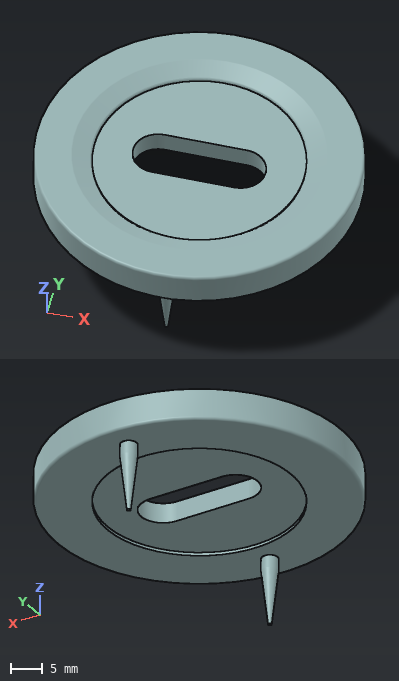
import cadquery as cq

RING_DIAMETER = 52.0
RING_RADIUS = RING_DIAMETER / 2
RING_HEIGHT = 5.65
RING_EDGE_FILLET = 0.5
RIM_RADIUS = 20.0
RIM_FILLET = 0.45
BORE_RADIUS = 16.8
SLOPE_DEPTH = 1.15
LIP_FILLET = 0.45

PLATE_THICKNESS = 3.55
PLATE_DEPTH = 1.55
PLATE_BOTTOM = RING_HEIGHT - PLATE_DEPTH - PLATE_THICKNESS
SLOT_LENGTH = 21.3
SLOT_WIDTH = 8.0

PIN_RADIUS = 1.4
PIN_TIP_RADIUS = 0.3
PIN_SHANK_LENGTH = 2.2
TOTAL_HEIGHT = 17.4
PIN_LENGTH = TOTAL_HEIGHT - RING_HEIGHT
PIN_OFFSET = 21.0


def revolve_about_z(profile):
    """Turn a closed XZ profile about the Z axis."""
    return profile.revolve(360, (0, 0, 0), (0, 1, 0))


def circle_edge(radius, z):
    """Select the circular edge of a given radius and height about the Z axis."""
    tolerance = 0.025
    reach = radius + tolerance
    box = (-reach, -reach, z - tolerance, reach, reach, z + tolerance)
    return cq.selectors.BoxSelector(box[:3], box[3:], boundingbox=True)


def make_ring():
    slope_end = RING_HEIGHT - SLOPE_DEPTH
    profile = cq.Workplane("XZ").polyline([
        (BORE_RADIUS, 0),
        (RING_RADIUS, 0),
        (RING_RADIUS, RING_HEIGHT),
        (RIM_RADIUS, RING_HEIGHT),
        (BORE_RADIUS, slope_end),
    ]).close()
    ring = revolve_about_z(profile)
    ring = ring.edges(circle_edge(BORE_RADIUS, slope_end)).fillet(LIP_FILLET)
    ring = ring.edges(circle_edge(RIM_RADIUS, RING_HEIGHT)).fillet(RIM_FILLET)
    return ring.edges(cq.selectors.RadiusNthSelector(-1)).fillet(RING_EDGE_FILLET)


def make_plate():
    plate = cq.Workplane("XY", origin=(0, 0, PLATE_BOTTOM)).circle(BORE_RADIUS).extrude(PLATE_THICKNESS)
    return plate.faces(">Z").workplane().slot2D(SLOT_LENGTH, SLOT_WIDTH).cutThruAll()


def make_pin(y):
    profile = cq.Workplane("XZ").polyline([
        (0, 0),
        (PIN_RADIUS, 0),
        (PIN_RADIUS, -PIN_SHANK_LENGTH),
        (PIN_TIP_RADIUS, -PIN_LENGTH),
        (0, -PIN_LENGTH),
    ]).close()
    return revolve_about_z(profile).translate((0, y, 0))


ring = make_ring()
plate = make_plate()
pins = [make_pin(y) for y in (-PIN_OFFSET, PIN_OFFSET)]

result = cq.Compound.makeCompound([ring.val(), plate.val(), *[pin.val() for pin in pins]])